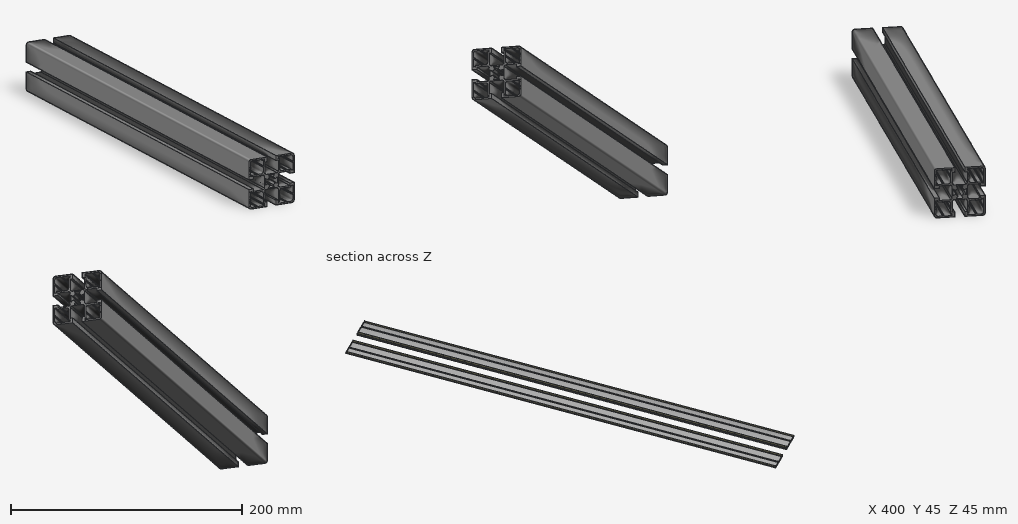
import cadquery as cq

length = 400.0
side = 45.0
corner_radius = 2.5

slot_opening = 9.0
slot_width = 13.0
slot_depth = 15.5
lip_depth = 4.5
slot_floor_bevel = 1.0

wall = 1.4
chamber_outer_radius = 2.0
chamber_inner_radius = 2.5
rib_width = 1.0
rib_height = 0.5
lip_pocket_depth = 1.0
lip_pocket_height = 1.5

core_hole_diameter = 7.5
core_arm_neck = 3.5
core_arm_end = 5.5
core_web = 1.0

half_side = side / 2
chamber_inner = slot_width / 2 + wall
chamber_outer = half_side - wall
chamber_size = chamber_outer - chamber_inner
chamber_center = (chamber_outer + chamber_inner) / 2
core_arm_reach = half_side - slot_depth - core_web


def bar(width, height, y=0.0, z=0.0):
    """Full-length rectangular bar centred on (y, z)."""
    return cq.Workplane("YZ").center(y, z).rect(width, height).extrude(length)


def turned(shape, quarter_turns):
    """Copy of a shape turned about the long axis."""
    return shape.rotate((0, 0, 0), (1, 0, 0), 90 * quarter_turns)


def t_slot():
    """T-slot cutter for the +Z face."""
    mouth = bar(slot_opening, lip_depth, 0, half_side - lip_depth / 2)
    cavity_height = slot_depth - lip_depth
    cavity = bar(slot_width, cavity_height, 0, half_side - lip_depth - cavity_height / 2)
    cavity = cavity.edges("|X and <Z").chamfer(slot_floor_bevel)
    return mouth.union(cavity)


def corner_chamber():
    """Chamber cutter for the (+Y, +Z) corner."""
    chamber = bar(chamber_size, chamber_size, chamber_center, chamber_center)
    chamber = chamber.edges("|X and >Y and >Z").fillet(chamber_outer_radius)
    chamber = chamber.edges("|X and <Y and <Z").fillet(chamber_inner_radius)

    for wall_face in (chamber_inner, chamber_outer):
        chamber = chamber.cut(bar(rib_width, 2 * rib_height, chamber_center, wall_face))
        chamber = chamber.cut(bar(2 * rib_height, rib_width, wall_face, chamber_center))

    pocket_center = chamber_outer - lip_pocket_height / 2
    chamber = chamber.union(bar(2 * lip_pocket_depth, lip_pocket_height, chamber_inner, pocket_center))
    return chamber.union(bar(lip_pocket_height, 2 * lip_pocket_depth, pocket_center, chamber_inner))


def core_opening():
    """Round core hole with four arms that widen outwards."""
    opening = cq.Workplane("YZ").circle(core_hole_diameter / 2).extrude(length)
    arm = (
        cq.Workplane("YZ")
        .polyline([
            (0, 0),
            (core_arm_neck / 2, core_hole_diameter / 2),
            (core_arm_end / 2, core_arm_reach),
            (-core_arm_end / 2, core_arm_reach),
            (-core_arm_neck / 2, core_hole_diameter / 2),
        ])
        .close()
        .extrude(length)
    )
    for quarter in range(4):
        opening = opening.union(turned(arm, quarter))
    return opening


profile = bar(side, side).edges("|X").fillet(corner_radius)
profile = profile.cut(core_opening())
for quarter in range(4):
    profile = profile.cut(turned(t_slot(), quarter))
    profile = profile.cut(turned(corner_chamber(), quarter))

result = profile